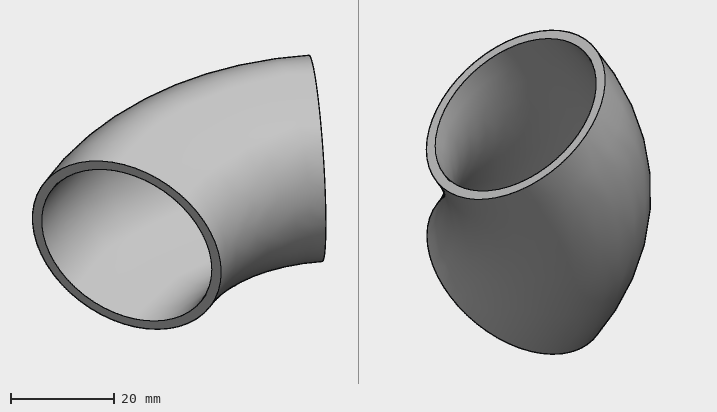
import cadquery as cq
import math

bend_angle = 60.0
overall_length = 56.3
outer_diameter = 40.0
inner_diameter = 36.0

outermost_arc_radius = overall_length / math.sin(math.radians(bend_angle))
bend_radius = outermost_arc_radius - outer_diameter / 2

axis_start = (bend_radius, 0)
axis_end = (bend_radius, -1)
result = (
    cq.Workplane("XZ")
    .circle(outer_diameter / 2)
    .circle(inner_diameter / 2)
    .revolve(bend_angle, axis_start, axis_end)
)